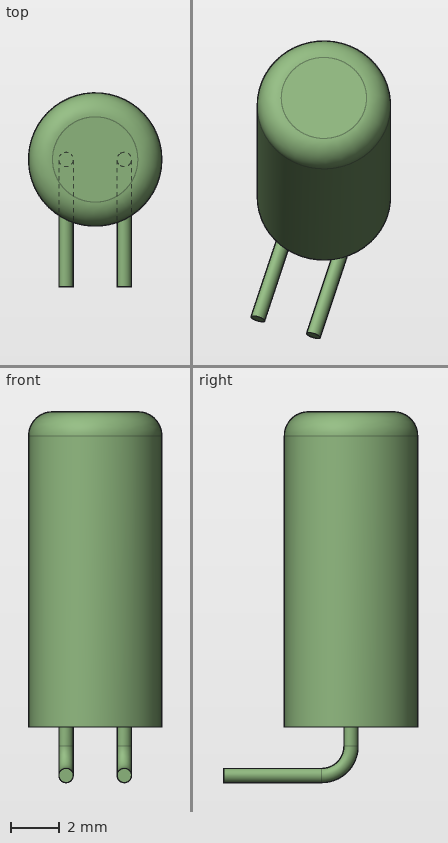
import cadquery as cq

total_height = 15.3
body_diameter = 5.51
body_height = 13.0
top_round = 1.0

lead_diameter = 0.6
lead_spacing = 2.4
lead_bend_radius = 1.21
lead_reach = 5.25

lead_axis_drop = total_height - body_height - lead_diameter / 2
straight_drop = lead_axis_drop - lead_bend_radius


def make_body():
    """Upright can with a rounded top rim."""
    can = cq.Workplane("XY").circle(body_diameter / 2).extrude(body_height)
    return can.faces(">Z").edges().fillet(top_round)


def make_lead(x):
    """Round wire leaving the can bottom and bending a quarter turn toward -Y."""
    path = (
        cq.Workplane("YZ", origin=(x, 0, 0))
        .lineTo(0, -straight_drop)
        .radiusArc((-lead_bend_radius, -lead_axis_drop), lead_bend_radius)
        .lineTo(-lead_reach, -lead_axis_drop)
    )
    return cq.Workplane("XY", origin=(x, 0, 0)).circle(lead_diameter / 2).sweep(path)


result = make_body()
for side in (-1, 1):
    result = result.union(make_lead(side * lead_spacing / 2))